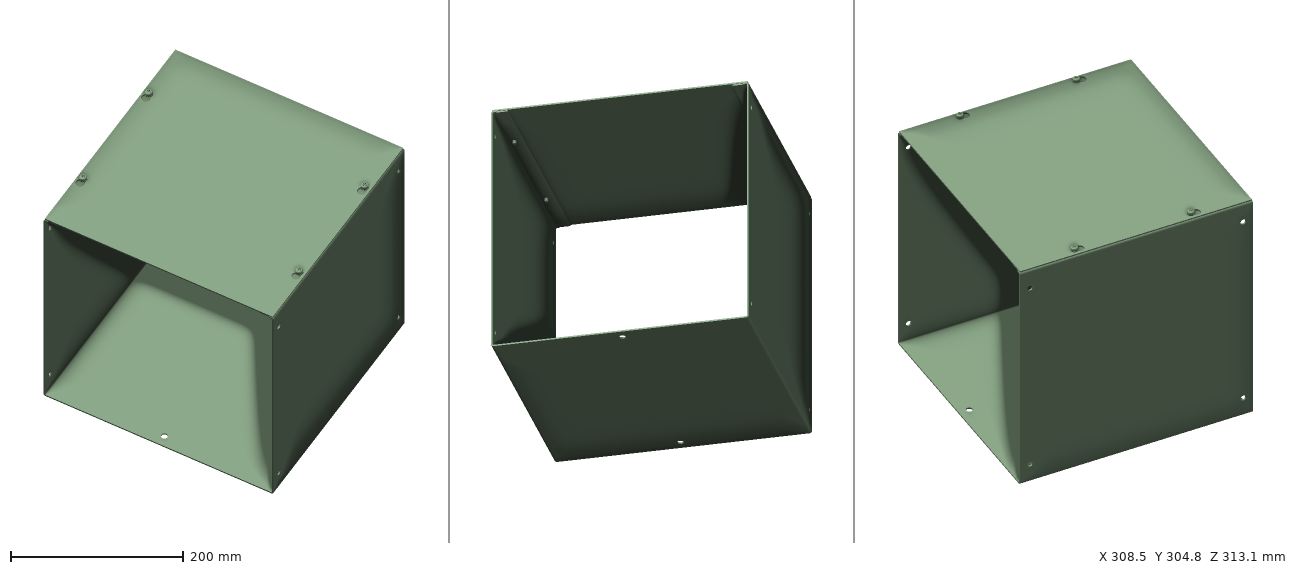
import cadquery as cq


sheet = 1.83
inside = 304.8
depth = 304.8
width = inside + 2 * sheet
cover_top = width
body_height = cover_top - sheet

bend_inner = 1.5
bend_outer = bend_inner + sheet
flange_width = 19.5
flange_relief_x = 6.0
flange_relief_y = 1.6

cover_inset_x = 1.5
cover_inset_y = 0.8

wall_hole_diameter = 6.8
wall_hole_edge = 13.0
wall_hole_low = 25.4
wall_hole_high = 280.8
floor_hole_diameter = 8.0
floor_hole_edge = 13.7

screw_edge = 9.5
screw_x = width / 2 - screw_edge
screw_y = 76.2
shank_diameter = 4.8
shank_length = 8.2
washer_diameter = 9.6
washer_height = 1.4
head_diameter = 9.2
head_height = 4.59
head_rounding = 1.8
recess_length = 5.0
recess_width = 1.6
recess_depth = 1.5
shank_chamfer = 0.6

key_diameter = 11.0
key_offset = 6.8
neck_width = 5.6

sides = (-1, 1)
screw_places = [(x_side * screw_x, y_side * screw_y) for x_side in sides for y_side in sides]


def block(length_x, length_y, length_z, x, y, z):
    """Block centred on x and y, with its underside at z."""
    centred = cq.Workplane("XY").box(length_x, length_y, length_z, centered=(True, True, False))
    return centred.translate((x, y, z))


def discs(places, diameter, z, height):
    """Upright round discs of one size, with their undersides at z."""
    return cq.Workplane("XY", origin=(0, 0, z)).pushPoints(places).circle(diameter / 2).extrude(height)


def make_body():
    shell = block(width, depth, body_height, 0, 0, 0).edges("|Y").fillet(bend_outer)
    cavity = block(inside, depth, body_height - 2 * sheet, 0, 0, sheet).edges("|Y").fillet(bend_inner)
    flange_bottom = body_height - sheet
    mouth = block(width - 2 * flange_width, depth, sheet, 0, 0, flange_bottom)
    body = shell.cut(cavity).cut(mouth)

    for side in sides:
        relief_width = width - 2 * flange_relief_x
        relief_y = side * (depth - flange_relief_y) / 2
        body = body.cut(block(relief_width, flange_relief_y, sheet, 0, relief_y, flange_bottom))

    wall_hole_y = depth / 2 - wall_hole_edge
    floor_hole_y = depth / 2 - floor_hole_edge
    wall_places = [(side * wall_hole_y, z) for side in sides for z in (wall_hole_low, wall_hole_high)]
    wall_holes = cq.Workplane("YZ").pushPoints(wall_places).circle(wall_hole_diameter / 2)
    wall_holes = wall_holes.extrude(width, both=True)
    floor_holes = discs([(0, side * floor_hole_y) for side in sides], floor_hole_diameter, 0, sheet)
    screw_holes = discs(screw_places, shank_diameter, flange_bottom, sheet)
    return body.cut(wall_holes).cut(floor_holes).cut(screw_holes)


def make_cover():
    cover = block(width - 2 * cover_inset_x, depth - 2 * cover_inset_y, sheet, 0, 0, body_height)
    openings = discs([(x, y - key_offset) for x, y in screw_places], key_diameter, body_height, sheet)
    neck_ends = discs(screw_places, neck_width, body_height, sheet)
    cover = cover.cut(openings).cut(neck_ends)
    for x, y in screw_places:
        cover = cover.cut(block(neck_width, key_offset, sheet, x, y - key_offset / 2, body_height))
    return cover


def make_screw(x, y):
    shank = cq.Workplane("XY").circle(shank_diameter / 2).extrude(-shank_length)
    shank = shank.faces("<Z").edges().chamfer(shank_chamfer)
    washer = discs([(0, 0)], washer_diameter, 0, washer_height)
    head = discs([(0, 0)], head_diameter, 0, head_height)
    head = head.faces(">Z").edges().fillet(head_rounding)
    recess_bottom = head_height - recess_depth
    recess = block(recess_length, recess_width, recess_depth, 0, 0, recess_bottom)
    recess = recess.union(block(recess_width, recess_length, recess_depth, 0, 0, recess_bottom))
    return shank.union(washer).union(head).cut(recess).translate((x, y, cover_top))


body = make_body()
cover = make_cover()
screws = [make_screw(x, y) for x, y in screw_places]

result = cq.Compound.makeCompound([body.val(), cover.val()] + [screw.val() for screw in screws])